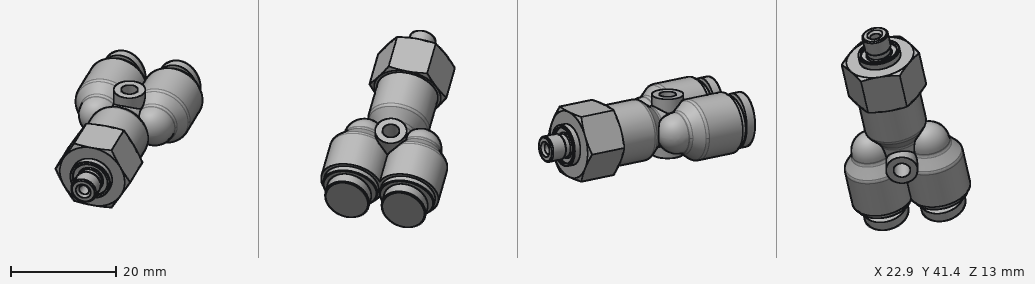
import cadquery as cq
import math


barrel_diameter = 11.9
neck_diameter = 8.0
branch_offset = 5.5
branch_positions = (-branch_offset, branch_offset)
shoulder_length = 2.55
shoulder_fillet = 1.05
branch_face_y = 9.6
branch_shoulder_y = 1.6
branch_ball_y = -1.4
stem_shoulder_y = -6.4
stem_face_y = -14.32

lug_diameter = 6.0
lug_hole_diameter = 3.2

collar_diameter = 10.6
collar_length = 1.2
collar_chamfer = 0.15

button_width = 8.6
button_height = 10.8
button_thickness = 2.03
button_chamfer = 0.2
button_neck_diameter = 5.5
button_neck_length = 0.8

hexagon_sides = 6
hexagon_across_flats = 13.0
hexagon_length = 8.07
hexagon_chamfer_angle = 20
flange_diameter = 8.0
flange_length = 1.32
flange_recess_diameter = 7.0
flange_recess_depth = 0.45
flange_chamfer = 0.1
undercut_diameter = 4.5
undercut_length = 0.8
thread_diameter = 5.0
thread_length = 3.25
thread_chamfer = (thread_diameter - undercut_diameter) / 2
bore_diameter = 2.0
bore_mouth_diameter = 3.0
bore_taper_length = 0.5


def revolve_about_y(outline):
    """Turn a closed XY outline, drawn at X >= 0, about the Y axis."""
    return outline.close().revolve(360, (0, 0, 0), (0, 1, 0))


def cylinder_along_y(diameter, start_y, length):
    """Cylinder on the Y axis that grows from start_y toward +Y."""
    return cq.Workplane("XZ", origin=(0, start_y, 0)).circle(diameter / 2).extrude(-length)


def fillet_shoulder(turned, large_end_y, small_end_y):
    """Round both edges of the conical shoulder of a part turned about Y."""
    for y, diameter in ((large_end_y, barrel_diameter), (small_end_y, neck_diameter)):
        edge = cq.selectors.NearestToPointSelector((0, y, 0))
        turned = turned.edges("%CIRCLE").edges(edge).fillet(shoulder_fillet)
    return turned


def make_branch():
    """One outlet barrel: cylinder, conical shoulder and spherical end."""
    barrel_radius = barrel_diameter / 2
    ball_radius = neck_diameter / 2
    shoulder_end_y = branch_shoulder_y - shoulder_length
    diagonal = ball_radius * math.sqrt(0.5)
    outline = (
        cq.Workplane("XY")
        .moveTo(0, branch_face_y)
        .lineTo(barrel_radius, branch_face_y)
        .lineTo(barrel_radius, branch_shoulder_y)
        .lineTo(ball_radius, shoulder_end_y)
        .lineTo(ball_radius, branch_ball_y)
        .threePointArc((diagonal, branch_ball_y - diagonal), (0, branch_ball_y - ball_radius))
    )
    return fillet_shoulder(revolve_about_y(outline), branch_shoulder_y, shoulder_end_y)


def make_stem():
    """Inlet barrel with a conical shoulder and a neck that ends inside the lug."""
    barrel_radius = barrel_diameter / 2
    neck_radius = neck_diameter / 2
    shoulder_end_y = stem_shoulder_y + shoulder_length
    outline = cq.Workplane("XY").polyline([
        (0, stem_face_y),
        (barrel_radius, stem_face_y),
        (barrel_radius, stem_shoulder_y),
        (neck_radius, shoulder_end_y),
        (neck_radius, 0),
        (0, 0),
    ])
    return fillet_shoulder(revolve_about_y(outline), stem_shoulder_y, shoulder_end_y)


def make_body():
    """Two branches, the stem and the lug as one piece, with the cross hole."""
    body = make_stem()
    for x in branch_positions:
        body = body.union(make_branch().translate((x, 0, 0)))
    lug_base = cq.Workplane("XY", origin=(0, 0, -barrel_diameter / 2))
    body = body.union(lug_base.circle(lug_diameter / 2).extrude(barrel_diameter))
    return body.cut(lug_base.circle(lug_hole_diameter / 2).extrude(barrel_diameter))


def make_collar(x):
    """Round end piece seated on the outlet face of a branch."""
    collar = cylinder_along_y(collar_diameter, branch_face_y, collar_length)
    return collar.faces(">Y").chamfer(collar_chamfer).translate((x, 0, 0))


def make_button(x):
    """Release button: a round neck on the collar under an oval head."""
    neck_start_y = branch_face_y + collar_length
    head_start_y = neck_start_y + button_neck_length
    neck = cylinder_along_y(button_neck_diameter, neck_start_y, button_neck_length)
    head = (
        cq.Workplane("XZ", origin=(0, head_start_y, 0))
        .ellipse(button_width / 2, button_height / 2)
        .extrude(-button_thickness)
        .faces(">Y")
        .chamfer(button_chamfer)
    )
    return head.union(neck).translate((x, 0, 0))


def make_hexagon():
    """Hexagon with flats facing +Z and -Z and conically chamfered corners at both ends."""
    across_corners = hexagon_across_flats / math.cos(math.pi / hexagon_sides)
    flat_radius = hexagon_across_flats / 2
    corner_radius = across_corners / 2
    corner_drop = (corner_radius - flat_radius) * math.tan(math.radians(hexagon_chamfer_angle))
    end_y = stem_face_y - hexagon_length
    prism = (
        cq.Workplane("XZ", origin=(0, stem_face_y, 0))
        .polygon(hexagon_sides, across_corners)
        .extrude(hexagon_length)
    )
    envelope = revolve_about_y(cq.Workplane("XY").polyline([
        (0, stem_face_y),
        (flat_radius, stem_face_y),
        (corner_radius, stem_face_y - corner_drop),
        (corner_radius, end_y + corner_drop),
        (flat_radius, end_y),
        (0, end_y),
    ]))
    return prism.intersect(envelope)


def make_stud_shank():
    """Flange with its ring recess, undercut with a flared root, and thread, turned as one piece."""
    root_y = stem_face_y - hexagon_length
    flange_end_y = root_y - flange_length
    recess_floor_y = flange_end_y + flange_recess_depth
    undercut_end_y = flange_end_y - undercut_length
    tip_y = undercut_end_y - thread_length
    flange_radius = flange_diameter / 2
    recess_radius = flange_recess_diameter / 2
    undercut_radius = undercut_diameter / 2
    thread_radius = thread_diameter / 2
    shank = revolve_about_y(cq.Workplane("XY").polyline([
        (0, root_y),
        (flange_radius, root_y),
        (flange_radius, flange_end_y + flange_chamfer),
        (flange_radius - flange_chamfer, flange_end_y),
        (recess_radius, flange_end_y),
        (recess_radius, recess_floor_y),
        (thread_radius, recess_floor_y),
        (undercut_radius, recess_floor_y - thread_chamfer),
        (undercut_radius, undercut_end_y),
        (thread_radius, undercut_end_y - thread_chamfer),
        (thread_radius, tip_y + thread_chamfer),
        (undercut_radius, tip_y),
        (0, tip_y),
    ]))
    return shank, tip_y


def make_stud():
    """Hexagon and shank with a bore right through, tapered open at the tip."""
    shank, tip_y = make_stud_shank()
    bore = revolve_about_y(cq.Workplane("XY").polyline([
        (0, tip_y),
        (bore_mouth_diameter / 2, tip_y),
        (bore_diameter / 2, tip_y + bore_taper_length),
        (bore_diameter / 2, stem_face_y),
        (0, stem_face_y),
    ]))
    return make_hexagon().union(shank).cut(bore)


body = make_body()
stud = make_stud()
collars = [make_collar(x) for x in branch_positions]
buttons = [make_button(x) for x in branch_positions]

result = cq.Compound.makeCompound(
    [body.val(), stud.val()] + [piece.val() for piece in collars + buttons]
)